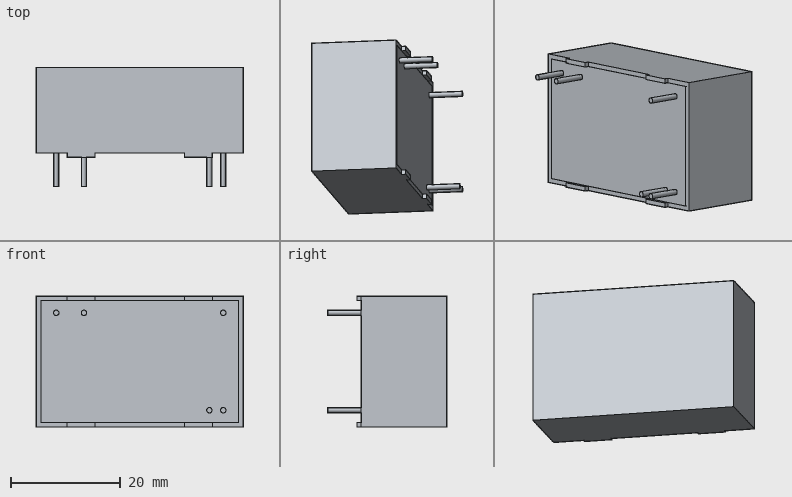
import cadquery as cq


HOUSING_WIDTH = 37.8
HOUSING_HEIGHT = 23.9
OVERALL_DEPTH = 21.75
PIN_LENGTH = 6.1
HOUSING_DEPTH = OVERALL_DEPTH - PIN_LENGTH
SIDE_WALL = 0.87
WALL = 0.85

FOOT_WIDTH = 5.1
FOOT_HEIGHT = 0.75
FOOT_OFFSET = 10.7

FILLING_WIDTH = HOUSING_WIDTH - 2 * SIDE_WALL
FILLING_HEIGHT = HOUSING_HEIGHT - 2 * WALL
FILLING_DEPTH = HOUSING_DEPTH - WALL

PIN_DIAMETER = 1.0
PIN_PITCH = 2.55
PIN_ROW_OFFSET = 8.9
OUTER_PIN_X = 15.25
UPPER_PIN_XS = (-OUTER_PIN_X, -OUTER_PIN_X + 2 * PIN_PITCH, OUTER_PIN_X)
LOWER_PIN_XS = (OUTER_PIN_X - PIN_PITCH, OUTER_PIN_X)


def block_behind_face(width, depth, height):
    """Block centred in X and Z, reaching from the open face toward +Y."""
    return cq.Workplane("XY").box(width, depth, height, centered=(True, False, True))


def make_filling():
    return block_behind_face(FILLING_WIDTH, FILLING_DEPTH, FILLING_HEIGHT)


def make_foot(x, side):
    """Foot as thick as the wall, standing on the top (side 1) or bottom (side -1) wall."""
    wall_middle = (HOUSING_HEIGHT - WALL) / 2
    foot = cq.Workplane("XY").box(FOOT_WIDTH, FOOT_HEIGHT, WALL)
    return foot.translate((x, -FOOT_HEIGHT / 2, side * wall_middle))


def make_housing():
    shell = block_behind_face(HOUSING_WIDTH, HOUSING_DEPTH, HOUSING_HEIGHT)
    shell = shell.cut(make_filling())
    for x in (-FOOT_OFFSET, FOOT_OFFSET):
        for side in (-1, 1):
            shell = shell.union(make_foot(x, side))
    return shell


def make_pin(x, z):
    """Round pin standing on the filling and pointing toward -Y."""
    return cq.Workplane("XZ").center(x, z).circle(PIN_DIAMETER / 2).extrude(PIN_LENGTH)


housing = make_housing()
filling = make_filling()

pins = []
for x in UPPER_PIN_XS:
    pins.append(make_pin(x, PIN_ROW_OFFSET))
for x in LOWER_PIN_XS:
    pins.append(make_pin(x, -PIN_ROW_OFFSET))

result = cq.Compound.makeCompound([housing.val(), filling.val(), *[pin.val() for pin in pins]])